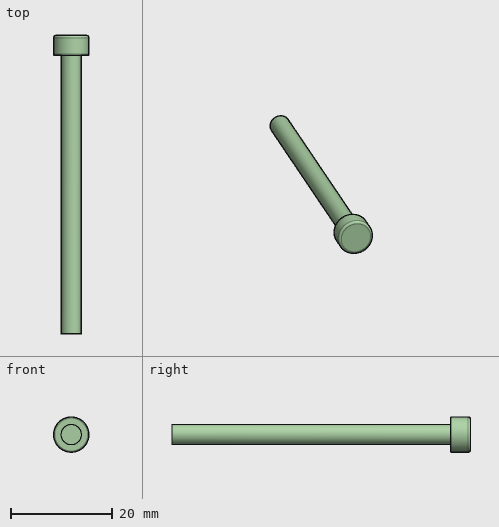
import cadquery as cq

shank_diameter = 4.0
shank_length = 55.0
head_diameter = 7.0
head_height = shank_diameter
crown_fillet = 0.5
bearing_fillet = crown_fillet / 2


def cylinder_along_y(diameter, start_y, length):
    """Solid cylinder centred on the Y axis, running from start_y toward +Y."""
    axis = cq.Vector(0, 1, 0)
    start = cq.Vector(0, start_y, 0)
    return cq.Workplane(cq.Solid.makeCylinder(diameter / 2, length, start, axis))


def make_head():
    """Head with a rounded crown edge and a smaller rounding around the bearing face."""
    head = cylinder_along_y(head_diameter, 0, head_height)
    head = head.faces(">Y").edges().fillet(crown_fillet)
    return head.faces("<Y").edges().fillet(bearing_fillet)


def make_shank():
    """Plain round shank ending in a flat tip."""
    return cylinder_along_y(shank_diameter, -shank_length, shank_length)


result = make_head().union(make_shank())